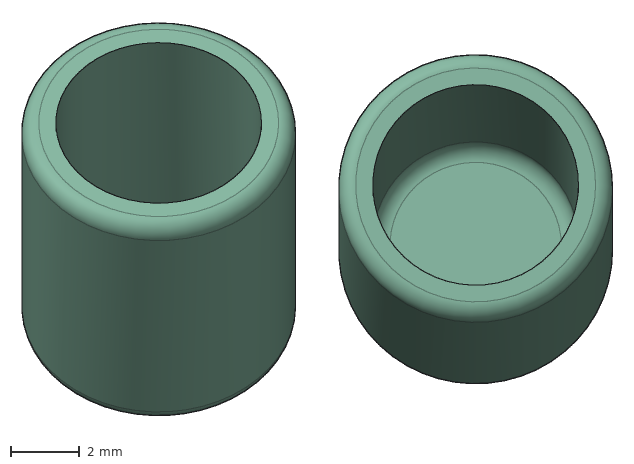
import cadquery as cq

height = 9.0
outer_diameter = 8.0
bore_diameter = 6.0

wall = (outer_diameter - bore_diameter) / 2
floor_thickness = wall
edge_radius = wall / 2

body = (
    cq.Workplane("XY")
    .circle(outer_diameter / 2)
    .extrude(height)
    .edges()
    .fillet(edge_radius)
)

bore = (
    cq.Workplane("XY")
    .workplane(offset=floor_thickness)
    .circle(bore_diameter / 2)
    .extrude(height - floor_thickness)
    .edges("<Z")
    .fillet(edge_radius)
)

result = body.cut(bore)